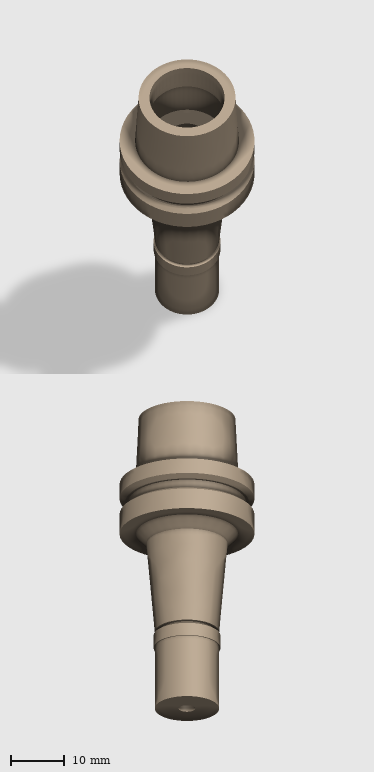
import cadquery as cq

total_height = 58.0
shank_length = 13.0
flange_height = 10.0
flange_top = total_height - shank_length
flange_bottom = flange_top - flange_height
groove_upper_edge = 42.1
groove_lower_edge = 39.0
groove_chamfer_height = 0.7
cone_height = 2.05
stem_top = flange_bottom - cone_height
stem_bottom = 15.35
nut_height = 14.6
collar_height = 2.45

shank_top_radius = 9.0
shank_base_radius = 9.6
flange_diameter = 25.0
flange_radius = flange_diameter / 2
groove_side_radius = 11.5
groove_radius = 10.95
cone_top_radius = 9.5
cone_bottom_radius = 7.55
stem_bottom_radius = 6.0
neck_top_radius = 5.3
neck_bottom_radius = 5.55
nut_radius = 6.0
collar_radius = 6.2

socket_radius = 6.95
socket_mouth_depth = 5.55
relief_radius = 7.25
socket_depth = 13.0
stem_bore_radius = 4.0
nut_hole_radius = 1.55


def revolve_profile(points):
    """Turn a (radius, height) outline about the Z axis."""
    return cq.Workplane("YZ").polyline(points).close().revolve(360, (0, 0), (0, 1))


def make_holder():
    """Tapered hollow shank, grooved flange and tapered stem with a central bore."""
    mouth_bottom = total_height - socket_mouth_depth
    socket_floor = total_height - socket_depth
    return revolve_profile([
        (shank_top_radius, total_height),
        (shank_base_radius, flange_top),
        (flange_radius, flange_top),
        (flange_radius, groove_upper_edge),
        (groove_side_radius, groove_upper_edge - groove_chamfer_height),
        (groove_radius, groove_upper_edge - groove_chamfer_height),
        (groove_radius, groove_lower_edge + groove_chamfer_height),
        (groove_side_radius, groove_lower_edge + groove_chamfer_height),
        (flange_radius, groove_lower_edge),
        (flange_radius, flange_bottom),
        (cone_top_radius, flange_bottom),
        (cone_bottom_radius, stem_top),
        (stem_bottom_radius, stem_bottom),
        (neck_top_radius, stem_bottom),
        (neck_bottom_radius, nut_height),
        (stem_bore_radius, nut_height),
        (stem_bore_radius, socket_floor),
        (relief_radius, socket_floor),
        (relief_radius, mouth_bottom),
        (socket_radius, mouth_bottom),
        (socket_radius, total_height),
    ])


def make_nut():
    """Cylindrical nut with a collar at its top and a through hole."""
    collar_bottom = nut_height - collar_height
    return revolve_profile([
        (nut_hole_radius, 0),
        (nut_radius, 0),
        (nut_radius, collar_bottom),
        (collar_radius, collar_bottom),
        (collar_radius, nut_height),
        (nut_hole_radius, nut_height),
    ])


holder = make_holder()
nut = make_nut()
result = cq.Compound.makeCompound([holder.val(), nut.val()])